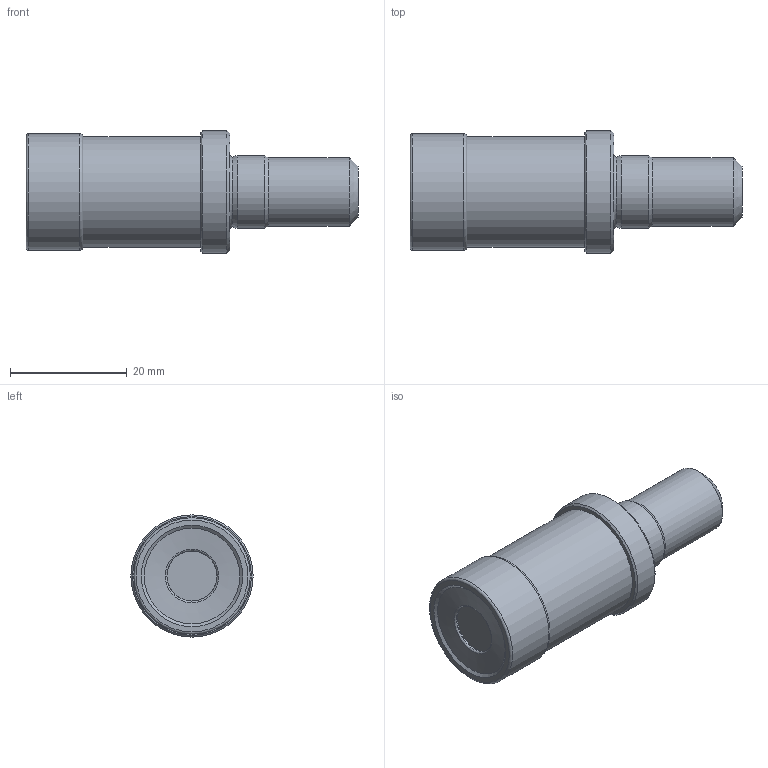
import cadquery as cq


overall_length = 56.99
cap_length = 9.75
flange_width = 5.0
shank_length = 22.0
seat_length = 6.0
relief_ramp = 0.85
seat_ramp = 0.6

cap_diameter = 20.0
barrel_diameter = 19.0
flange_diameter = 21.0
relief_diameter = 12.0
seat_diameter = 12.5
shank_diameter = 11.75

cap_front_fillet = 0.4
cap_back_fillet = 0.5
flange_front_chamfer = 0.3
flange_back_chamfer = 0.5
relief_fillet = 0.4
tip_chamfer = 1.5

dish_mouth_diameter = 17.4
dish_cone_diameter = 16.4
pocket_diameter = 8.6
dish_rim_depth = 0.4
dish_cone_depth = 0.4
pocket_depth = 0.5
pocket_mouth_fillet = 0.33

flange_back = overall_length - shank_length
flange_front = flange_back - flange_width
relief_end = flange_back + relief_fillet
seat_front = relief_end + relief_ramp
seat_back = flange_back + seat_length


def turn(profile):
    """Revolve a half profile about the X axis."""
    return profile.close().revolve(360, (0, 0, 0), (1, 0, 0))


def make_cap():
    """Bumper cap with a dished front face."""
    pocket_radius = pocket_diameter / 2
    pocket_mouth = dish_rim_depth + dish_cone_depth
    pocket_floor = pocket_mouth + pocket_depth

    dish = turn(
        cq.Workplane("XY")
        .lineTo(0, dish_mouth_diameter / 2)
        .lineTo(dish_rim_depth, dish_cone_diameter / 2)
        .lineTo(pocket_mouth, pocket_radius)
        .lineTo(pocket_floor, pocket_radius)
        .lineTo(pocket_floor, 0)
    )
    cap = cq.Workplane("YZ").circle(cap_diameter / 2).extrude(cap_length).cut(dish)

    smallest_circles = cq.selectors.RadiusNthSelector(0)
    cap = cap.edges("%CIRCLE").edges(smallest_circles).edges("<X").fillet(pocket_mouth_fillet)

    outer_circle = cq.selectors.RadiusNthSelector(-1)
    cap = cap.faces("<X").edges(outer_circle).fillet(cap_front_fillet)
    return cap.faces(">X").edges().fillet(cap_back_fillet)


def make_stud():
    """Stepped stud: barrel, flange, relief groove, seat and chamfered shank."""
    barrel_radius = barrel_diameter / 2
    flange_radius = flange_diameter / 2
    relief_radius = relief_diameter / 2
    shank_radius = shank_diameter / 2

    return turn(
        cq.Workplane("XY")
        .moveTo(cap_length, 0)
        .lineTo(cap_length, barrel_radius)
        .lineTo(flange_front, barrel_radius)
        .lineTo(flange_front, flange_radius - flange_front_chamfer)
        .lineTo(flange_front + flange_front_chamfer, flange_radius)
        .lineTo(flange_back - flange_back_chamfer, flange_radius)
        .lineTo(flange_back, flange_radius - flange_back_chamfer)
        .lineTo(flange_back, relief_radius + relief_fillet)
        .radiusArc((relief_end, relief_radius), -relief_fillet)
        .lineTo(seat_front, seat_diameter / 2)
        .lineTo(seat_back, seat_diameter / 2)
        .lineTo(seat_back + seat_ramp, shank_radius)
        .lineTo(overall_length - tip_chamfer, shank_radius)
        .lineTo(overall_length, shank_radius - tip_chamfer)
        .lineTo(overall_length, 0)
    )


cap = make_cap()
stud = make_stud()

result = cq.Compound.makeCompound([cap.val(), stud.val()])